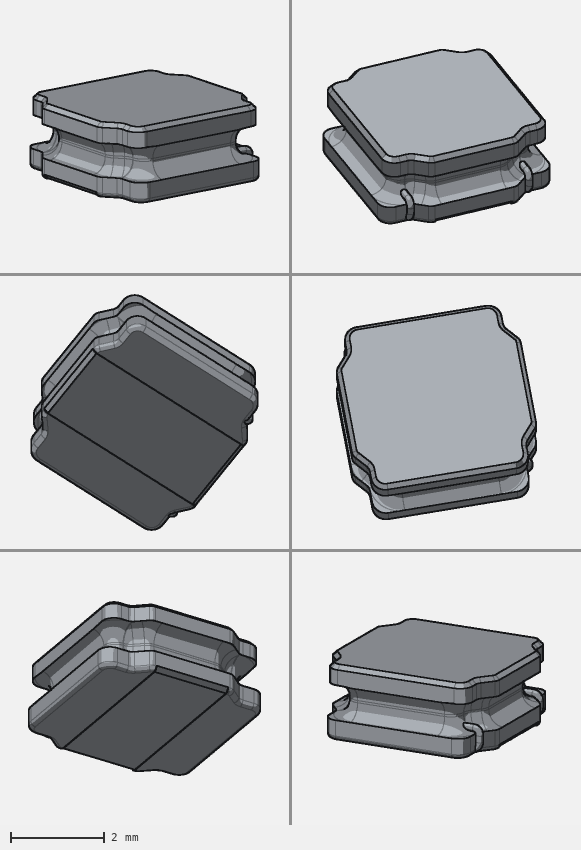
import cadquery as cq
import math


TOTAL_HEIGHT = 1.66
TERMINAL_THICKNESS = 0.01
FLANGE_THICKNESS = 0.45
FLARE_RADIUS = 0.35
CORE_BOTTOM = TERMINAL_THICKNESS
GAP_BOTTOM = CORE_BOTTOM + FLANGE_THICKNESS
GAP_TOP = TOTAL_HEIGHT - FLANGE_THICKNESS
GAP_MIDDLE = (GAP_BOTTOM + GAP_TOP) / 2

BOTTOM_HALF_X = 2.0
TOP_HALF_X = 1.9
TONGUE_HALF_Y = 2.0
EAR_HALF_Y = 1.7
TONGUE_FOOT_X = 1.355
SLOPE_ANGLE = math.radians(40)
CORNER_RADIUS = 0.3
STEP_RADIUS = 0.2
FLANGE_CHAMFER = 0.1

WAIST_HALF_X = BOTTOM_HALF_X - FLARE_RADIUS
WAIST_TONGUE_Y = TONGUE_HALF_Y - FLARE_RADIUS
WAIST_EAR_Y = EAR_HALF_Y - FLARE_RADIUS
WAIST_FOOT_X = TONGUE_FOOT_X - FLARE_RADIUS * math.tan(SLOPE_ANGLE / 2)
WAIST_RADIUS = 0.3

WAIST_TONGUE_HALF_X = 1.4
WEDGE_DEPTH = 0.6
SLAB_SIZE = 3 * TONGUE_HALF_Y
FULL_TURN = 360

TERMINAL_INNER_X = 0.895
TERMINAL_ROUND = TERMINAL_THICKNESS + FLANGE_CHAMFER

WIRE_X = 1.385
WIRE_RADIUS = 0.08
WIRE_DROP_Y = 1.76
WIRE_START_Y = 1.2
UPPER_BEND_RADIUS = 0.14
LOWER_BEND_RADIUS = 0.19
UPPER_BEND_END_Z = 0.42
LOWER_BEND_START_Z = LOWER_BEND_RADIUS + WIRE_RADIUS


def flange_prism(half_x, z_bottom, z_top):
    """Flange outline with rounded vertical edges, between two heights."""
    tip_x = TONGUE_FOOT_X - (TONGUE_HALF_Y - EAR_HALF_Y) / math.tan(SLOPE_ANGLE)
    upper = [
        (half_x, EAR_HALF_Y),
        (TONGUE_FOOT_X, EAR_HALF_Y),
        (tip_x, TONGUE_HALF_Y),
        (-tip_x, TONGUE_HALF_Y),
        (-TONGUE_FOOT_X, EAR_HALF_Y),
        (-half_x, EAR_HALF_Y),
    ]
    lower = [(-x, -y) for x, y in upper]
    prism = cq.Workplane("XY").workplane(offset=z_bottom)
    prism = prism.polyline(upper + lower).close().extrude(z_top - z_bottom)
    prism = prism.edges("|Z and (not (<X or >X))").fillet(STEP_RADIUS)
    return prism.edges("|Z and (<X or >X)").fillet(CORNER_RADIUS)


def envelope():
    """Both flanges grown toward each other until they meet at mid-gap."""
    top = flange_prism(TOP_HALF_X, GAP_MIDDLE, TOTAL_HEIGHT)
    top = top.faces(">Z").chamfer(FLANGE_CHAMFER)
    bottom = flange_prism(BOTTOM_HALF_X, CORE_BOTTOM, GAP_MIDDLE)
    bottom = bottom.faces("<Z").chamfer(FLANGE_CHAMFER)
    return top.union(bottom)


def spool(outline):
    """Column with a convex outline, flared into a wide slab at each end."""
    column = cq.Workplane("XY").polyline(outline).close().extrude(TOTAL_HEIGHT)
    column = column.edges("|Z").fillet(WAIST_RADIUS)
    slab = cq.Workplane("XY").rect(SLAB_SIZE, SLAB_SIZE).extrude(GAP_BOTTOM)
    body = column.union(slab).union(slab.translate((0, 0, GAP_TOP)))
    around_column = cq.selectors.BoxSelector(
        (-BOTTOM_HALF_X, -TONGUE_HALF_Y, CORE_BOTTOM),
        (BOTTOM_HALF_X, TONGUE_HALF_Y, TOTAL_HEIGHT),
    )
    return body.edges("not |Z").edges(around_column).fillet(FLARE_RADIUS)


def ear_spool():
    """Spool for the wide part of the waist."""
    half_x = WAIST_HALF_X
    half_y = WAIST_EAR_Y
    return spool([(half_x, half_y), (-half_x, half_y), (-half_x, -half_y), (half_x, -half_y)])


def tongue_spool():
    """Spool for the part of the waist with sloped corners."""
    slope = math.tan(SLOPE_ANGLE)
    tip_x = WAIST_FOOT_X - (WAIST_TONGUE_Y - WAIST_EAR_Y) / slope
    side_x = WAIST_TONGUE_HALF_X
    side_y = WAIST_EAR_Y - (side_x - WAIST_FOOT_X) * slope
    upper = [(side_x, side_y), (tip_x, WAIST_TONGUE_Y), (-tip_x, WAIST_TONGUE_Y), (-side_x, side_y)]
    return spool(upper + [(-x, -y) for x, y in upper])


def corner_wedge():
    """Wedge over one inner corner, its tip edge on the Z axis, as tall as the gap."""
    sloped_x = -WEDGE_DEPTH * math.sin(SLOPE_ANGLE)
    sloped_y = -WEDGE_DEPTH * math.cos(SLOPE_ANGLE)
    triangle = cq.Workplane("XY").polyline([(0, 0), (0, -WEDGE_DEPTH), (sloped_x, sloped_y)]).close()
    return triangle.extrude((GAP_TOP - GAP_BOTTOM) / 2, both=True)


def corner_hollow():
    """Round hollow about the Z axis that forms the inner corner rounding.

    It narrows as the flare widens and closes where the flare has grown
    by the rounding radius.
    """
    half_band = (GAP_TOP - GAP_BOTTOM) / 2 - FLARE_RADIUS
    past_axis = FLARE_RADIUS - WAIST_RADIUS
    closing_angle = math.acos(past_axis / FLARE_RADIUS)
    half_height = half_band + FLARE_RADIUS * math.sin(closing_angle)
    mid_radius = FLARE_RADIUS * math.cos(closing_angle / 2) - past_axis
    mid_z = half_band + FLARE_RADIUS * math.sin(closing_angle / 2)
    profile = (
        cq.Workplane("XZ")
        .moveTo(0, -half_height)
        .threePointArc((mid_radius, -mid_z), (WAIST_RADIUS, -half_band))
        .lineTo(WAIST_RADIUS, half_band)
        .threePointArc((mid_radius, mid_z), (0, half_height))
        .close()
    )
    return profile.revolve(FULL_TURN, (0, 0, 0), (0, 1, 0))


def core():
    """Flanges and waist as one body: a quarter with its corner rounded, mirrored in X and Y."""
    corner_center = (
        WAIST_FOOT_X + WAIST_RADIUS * math.tan(SLOPE_ANGLE / 2),
        WAIST_EAR_Y + WAIST_RADIUS,
        GAP_MIDDLE,
    )
    wedge = corner_wedge()
    filler = wedge.cut(corner_hollow()).translate(corner_center)
    wedge = wedge.translate(corner_center)
    quadrant = cq.Workplane("XY").box(SLAB_SIZE, SLAB_SIZE, SLAB_SIZE, centered=(False, False, True))
    body = ear_spool().union(tongue_spool()).cut(wedge).union(filler)
    quarter = body.intersect(envelope()).intersect(quadrant)
    half = quarter.union(quarter.mirror("YZ"))
    return half.union(half.mirror("XZ"))


def terminals():
    """Thin pads wrapping the bottom edge at both X ends."""
    wrap = flange_prism(BOTTOM_HALF_X, 0, GAP_BOTTOM)
    wrap = wrap.faces("<Z").edges().fillet(TERMINAL_ROUND)
    middle = cq.Workplane("XY").box(2 * TERMINAL_INNER_X, SLAB_SIZE, 2 * TOTAL_HEIGHT)
    return wrap.cut(middle)


def wire_end(x):
    """Wire leaving the waist, bending down past the flange and tucking under it."""
    upper_y = WIRE_DROP_Y - UPPER_BEND_RADIUS
    upper_z = UPPER_BEND_END_Z + UPPER_BEND_RADIUS
    lower_y = WIRE_DROP_Y - LOWER_BEND_RADIUS
    path = (
        cq.Workplane("YZ", origin=(x, 0, 0))
        .moveTo(WIRE_START_Y, upper_z)
        .lineTo(upper_y, upper_z)
        .tangentArcPoint((WIRE_DROP_Y, UPPER_BEND_END_Z), relative=False)
        .lineTo(WIRE_DROP_Y, LOWER_BEND_START_Z)
        .tangentArcPoint((lower_y, WIRE_RADIUS), relative=False)
    )
    section = cq.Workplane("XZ", origin=(x, WIRE_START_Y, upper_z)).circle(WIRE_RADIUS)
    return section.sweep(path)


result = core().union(terminals())
for wire_x in (-WIRE_X, WIRE_X):
    result = result.union(wire_end(wire_x))